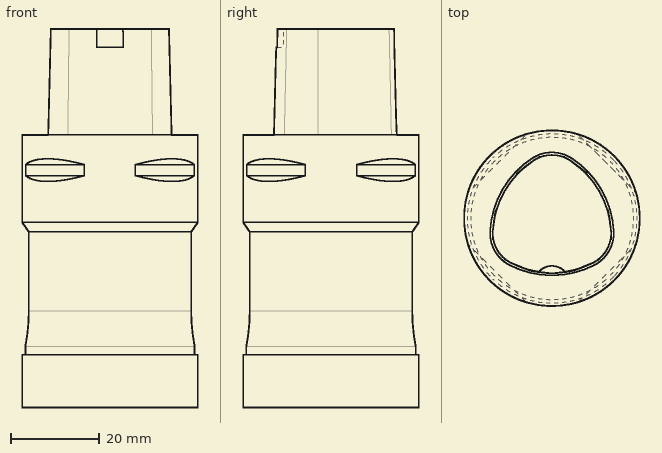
import cadquery as cq
import math

total_height = 86.0
outer_radius = 40.0 / 2

cap_height = 12.0

band_top = 13.9
flare_top = 21.9
neck_top = 39.9
collar_bottom = 42.05
shoulder_height = 61.9
neck_radius = 37.0 / 2
band_radius = 19.3

groove_count = 4
groove_first_angle = 45.0
groove_height = 53.9
groove_floor_distance = 17.6
groove_floor_width = 2.5
groove_mouth_width = 5.2

lobe_count = 3
lobe_pitch = 360.0 / lobe_count
lobe_reach = 15.0
flank_reach = 13.0
flank_radius = 21.1
shank_inset = 0.6
shank_height = total_height - shoulder_height

keyway_depth = 4.2
keyway_radius = 3.95
keyway_inner_distance = 10.8


def polar(radius, degrees):
    angle = math.radians(degrees)
    return (radius * math.cos(angle), radius * math.sin(angle))


def make_end_cap():
    return cq.Workplane("XY").circle(outer_radius).extrude(cap_height)


def make_turned_body():
    flare_height = flare_top - band_top
    flare_growth = band_radius - neck_radius
    flare_radius = (flare_height**2 + flare_growth**2) / (2 * flare_growth)
    half_height = flare_height / 2
    middle_radius = neck_radius + flare_radius - math.sqrt(flare_radius**2 - half_height**2)
    return (
        cq.Workplane("XZ")
        .moveTo(0, cap_height)
        .lineTo(band_radius, cap_height)
        .lineTo(band_radius, band_top)
        .threePointArc((middle_radius, flare_top - half_height), (neck_radius, flare_top))
        .lineTo(neck_radius, neck_top)
        .lineTo(outer_radius, collar_bottom)
        .lineTo(outer_radius, shoulder_height)
        .lineTo(0, shoulder_height)
        .close()
        .revolve(360, (0, 0, 0), (0, 1, 0))
    )


def make_groove_cutter(angle):
    depth = outer_radius - groove_floor_distance
    cutter_reach = outer_radius + depth
    floor_half = groove_floor_width / 2
    mouth_half = groove_mouth_width / 2
    end_half = 2 * mouth_half - floor_half
    return (
        cq.Workplane("XZ")
        .moveTo(groove_floor_distance, groove_height - floor_half)
        .lineTo(cutter_reach, groove_height - end_half)
        .lineTo(cutter_reach, groove_height + end_half)
        .lineTo(groove_floor_distance, groove_height + floor_half)
        .close()
        .extrude(outer_radius, both=True)
        .rotate((0, 0, 0), (0, 0, 1), angle)
    )


def lobed_wire(inset, height):
    flank_offset = flank_radius - flank_reach
    radius_gap = flank_radius - lobe_reach
    lobe_offset = (flank_offset**2 - radius_gap**2) / (2 * radius_gap - flank_offset)
    lobe_radius = lobe_reach - lobe_offset
    half_pitch = math.radians(lobe_pitch / 2)
    lobe_half_angle = math.degrees(
        math.atan2(
            flank_offset * math.sin(half_pitch),
            lobe_offset + flank_offset * math.cos(half_pitch),
        )
    )

    def lobe_point(lobe_angle, turn):
        centre = polar(lobe_offset, lobe_angle)
        arm = polar(lobe_radius - inset, lobe_angle + turn)
        return cq.Vector(centre[0] + arm[0], centre[1] + arm[1], height)

    edges = []
    for index in range(lobe_count):
        lobe_angle = 90 + index * lobe_pitch
        start = lobe_point(lobe_angle, -lobe_half_angle)
        tip = lobe_point(lobe_angle, 0)
        end = lobe_point(lobe_angle, lobe_half_angle)
        flank_middle = cq.Vector(*polar(flank_reach - inset, lobe_angle + lobe_pitch / 2), height)
        next_start = lobe_point(lobe_angle + lobe_pitch, -lobe_half_angle)
        edges.append(cq.Edge.makeThreePointArc(start, tip, end))
        edges.append(cq.Edge.makeThreePointArc(end, flank_middle, next_start))
    return cq.Wire.assembleEdges(edges)


def make_shank():
    root = lobed_wire(0, shoulder_height)
    tip = lobed_wire(shank_inset, shoulder_height + shank_height)
    return cq.Workplane(cq.Solid.makeLoft([root, tip], True))


def make_keyway_cutter():
    return (
        cq.Workplane("XY", origin=(0, 0, total_height - keyway_depth))
        .center(0, -keyway_inner_distance - keyway_radius)
        .circle(keyway_radius)
        .extrude(keyway_depth)
    )


def make_holder():
    holder = make_turned_body()
    for index in range(groove_count):
        angle = groove_first_angle + index * 360 / groove_count
        holder = holder.cut(make_groove_cutter(angle))
    return holder.union(make_shank().cut(make_keyway_cutter()))


end_cap = make_end_cap()
holder = make_holder()

result = cq.Compound.makeCompound([end_cap.val(), *holder.solids().vals()])